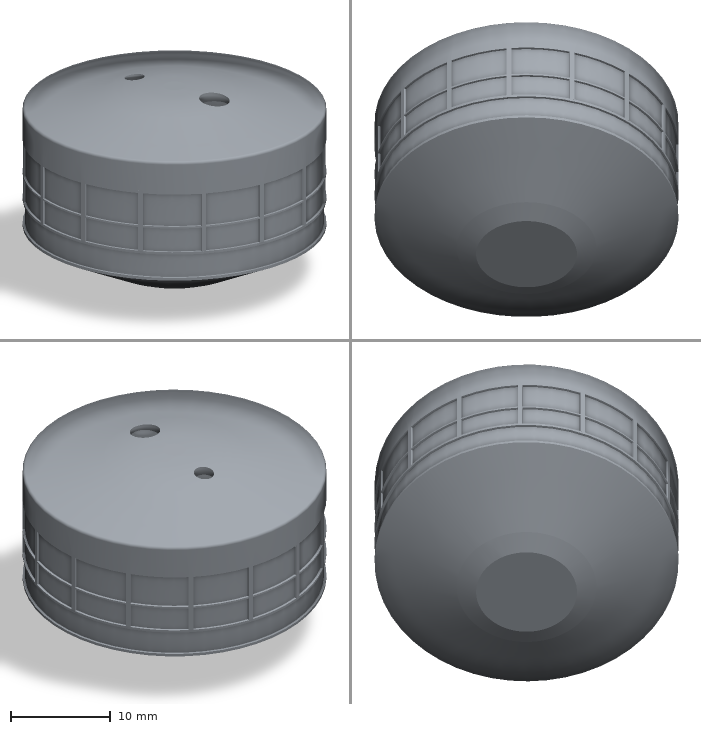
import cadquery as cq
import math

outer_radius = 15.25
total_height = 19.9

blend_radius = 7.0
roof_angle = 11.2
roof_flat_radius = 1.15
base_angle = 26.5
base_flat_radius = 5.05
rim_fillet = 0.3

wall_radius = 15.0
lower_rim_top = 5.22
sill_bottom = 7.72
sill_top = 8.0
rail_bottom = 10.55
rail_top = 10.75
window_top = 14.2

rib_count = 15
rib_width = 0.5
rib_top = 14.52
rib_root_radius = 14.65

hole_offset = 5.0
small_hole_radius = 1.0
large_hole_radius = 1.52
hole_floor = 18.82


def polar(radius, angle, centre_r=0.0, centre_z=0.0):
    """Profile point (r, z) on a circle, with the angle in degrees from the +Z direction."""
    a = math.radians(angle)
    return centre_r + radius * math.sin(a), centre_z + radius * math.cos(a)


def make_body():
    """Solid of revolution about Z, without the ribs and roof holes."""
    cone_run = outer_radius - blend_radius

    base_sphere = blend_radius / math.sin(math.radians(base_angle))
    base_flat_angle = math.degrees(math.asin(base_flat_radius / base_sphere))
    base_centre = base_sphere * math.cos(math.radians(base_flat_angle))
    base_mid = polar(base_sphere, 180 - (base_flat_angle + base_angle) / 2, centre_z=base_centre)
    base_blend = polar(base_sphere, 180 - base_angle, centre_z=base_centre)
    lower_rim_bottom = base_blend[1] + cone_run * math.tan(math.radians(base_angle))

    roof_arc = (blend_radius - roof_flat_radius) / math.sin(math.radians(roof_angle))
    roof_arc_z = total_height - roof_arc
    roof_mid = polar(roof_arc, roof_angle / 2, roof_flat_radius, roof_arc_z)
    roof_blend = polar(roof_arc, roof_angle, roof_flat_radius, roof_arc_z)
    roof_corner = roof_blend[1] - cone_run * math.tan(math.radians(roof_angle))

    fillet_r = outer_radius - rim_fillet
    fillet_z = roof_corner - rim_fillet * math.tan(math.radians((90 - roof_angle) / 2))
    fillet_mid = polar(rim_fillet, (90 + roof_angle) / 2, fillet_r, fillet_z)
    fillet_end = polar(rim_fillet, roof_angle, fillet_r, fillet_z)

    profile = (
        cq.Workplane("XZ")
        .moveTo(0, 0)
        .lineTo(base_flat_radius, 0)
        .threePointArc(base_mid, base_blend)
        .lineTo(outer_radius, lower_rim_bottom)
        .lineTo(outer_radius, lower_rim_top)
        .lineTo(wall_radius, lower_rim_top)
        .lineTo(wall_radius, sill_bottom)
        .lineTo(outer_radius, sill_bottom)
        .lineTo(outer_radius, sill_top)
        .lineTo(wall_radius, sill_top)
        .lineTo(wall_radius, rail_bottom)
        .lineTo(outer_radius, rail_bottom)
        .lineTo(outer_radius, rail_top)
        .lineTo(wall_radius, rail_top)
        .lineTo(wall_radius, window_top)
        .lineTo(outer_radius, window_top)
        .lineTo(outer_radius, fillet_z)
        .threePointArc(fillet_mid, fillet_end)
        .lineTo(*roof_blend)
        .threePointArc(roof_mid, (roof_flat_radius, total_height))
        .lineTo(0, total_height)
        .close()
    )
    return profile.revolve(360, (0, 0, 0), (0, 1, 0))


def make_ribs():
    """Flat-faced uprights standing on the sill, spaced evenly with the first one facing -Y."""
    depth = outer_radius - rib_root_radius
    rib = cq.Workplane("XY").box(rib_width, depth, rib_top - sill_top, centered=(True, False, False))
    rib = rib.translate((0, -outer_radius, sill_top))
    step = 360 / rib_count
    return [rib.rotate((0, 0, 0), (0, 0, 1), i * step) for i in range(rib_count)]


def make_hole(x, radius):
    """Cutter for a flat-bottomed vertical hole on the X axis."""
    depth = total_height - hole_floor
    return cq.Workplane("XY", origin=(x, 0, hole_floor)).circle(radius).extrude(depth)


result = make_body()
for rib in make_ribs():
    result = result.union(rib)
result = result.cut(make_hole(-hole_offset, small_hole_radius))
result = result.cut(make_hole(hole_offset, large_hole_radius))